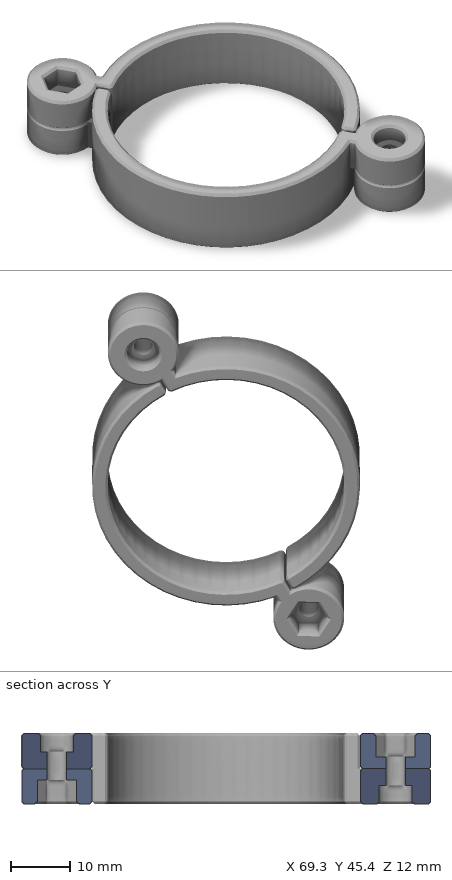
import cadquery as cq
import math


overall_length = 69.3
ring_outer_radius = 22.7
ring_inner_radius = 20.0
height = 12.0
split_gap = 0.45
ring_end_y = split_gap / 2

lug_radius = (overall_length / 2 - ring_outer_radius) / 2
lug_centre_x = ring_outer_radius + lug_radius
lug_height = height / 2
neck_outer_y = 2.85
neck_inner_x = (ring_outer_radius + ring_inner_radius) / 2

bolt_hole_diameter = 3.2
head_recess_diameter = 5.5
head_recess_depth = 3.1
nut_across_flats = 5.7
nut_across_corners = nut_across_flats / math.cos(math.pi / 6)
nut_recess_depth = 4.0

edge_chamfer = 0.4
joint_chamfer = 0.35


def half_turn(shape, axis):
    """Copy of a shape turned by 180 degrees about an axis through the origin."""
    return shape.rotate((0, 0, 0), axis, 180)


def half_ring():
    """Ring half on the +Y side, with chamfered upright edges at its two ends."""
    ring = cq.Workplane("XY").circle(ring_outer_radius).circle(ring_inner_radius).extrude(height)
    positive_side = (
        cq.Workplane("XY")
        .box(overall_length, overall_length, height, centered=(True, False, False))
        .translate((0, ring_end_y, 0))
    )
    half = ring.intersect(positive_side).edges("|Z").chamfer(edge_chamfer)
    return half.translate((0, 0, -height / 2))


def upper_left_lug():
    """Lug in the upper half of the height, with the neck that ties it to the +Y ring half."""
    lug = (
        cq.Workplane("XY")
        .center(-lug_centre_x, 0)
        .circle(lug_radius)
        .extrude(lug_height)
        .faces("<Z")
        .chamfer(joint_chamfer)
    )
    neck = (
        cq.Workplane("XY")
        .box(lug_centre_x - neck_inner_x, neck_outer_y - ring_end_y, lug_height, centered=False)
        .translate((-lug_centre_x, ring_end_y, 0))
    )
    return lug.union(neck)


def lug_top():
    """Work plane on the top face of the upper left lug, centred on its bolt axis."""
    return cq.Workplane("XY", origin=(-lug_centre_x, 0, lug_height))


def nut_recess():
    """Hexagonal nut pocket of the upper left lug, with two sides parallel to X."""
    return lug_top().polygon(6, nut_across_corners).extrude(-nut_recess_depth)


def head_recess():
    """Round bolt head pocket of the upper left lug."""
    return lug_top().circle(head_recess_diameter / 2).extrude(-head_recess_depth)


def clamp_half(recess):
    """+Y clamp half: ring half with an upper left and a lower right lug, both drilled and recessed."""
    bolt_hole = lug_top().circle(bolt_hole_diameter / 2).extrude(-lug_height)
    left_lug = upper_left_lug().cut(recess).cut(bolt_hole)
    right_lug = half_turn(left_lug, (0, 1, 0))
    half = half_ring().union(left_lug).union(right_lug)
    return half.faces("<Z or >Z").edges().chamfer(edge_chamfer)


nut_half = clamp_half(nut_recess())
head_half = half_turn(clamp_half(head_recess()), (1, 0, 0))

result = cq.Compound.makeCompound([nut_half.solids().val(), head_half.solids().val()])